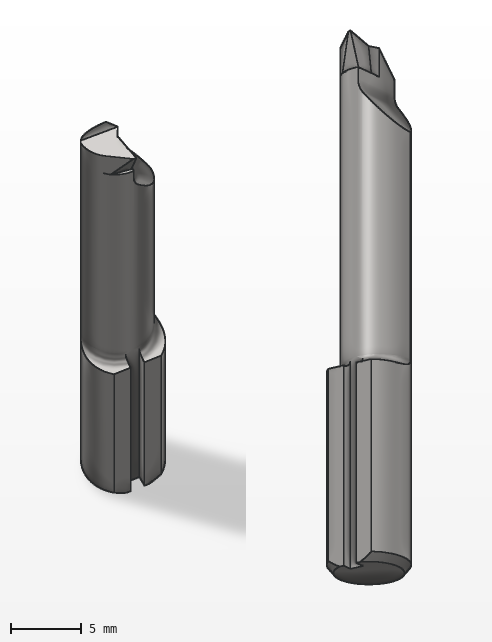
import cadquery as cq
import math

total_length = 40.0
shank_radius = 3.0
flat_x = 2.35
end_chamfer_radial = 0.5
end_chamfer_height = 0.6

shoulder_z = 15.0
neck_radius = 2.75
neck_center_x = -1.25
shoulder_fillet = 0.8

slot_width = 1.1
slot_floor_x = neck_center_x + neck_radius

tip_x = 2.25
tooth_bottom_z = 37.45
flank_angle = 20.0
flank_relief = 8.0
heel_x = 0.75
heel_y = -math.sqrt(neck_radius**2 - (heel_x - neck_center_x)**2)
heel_angle = 49.0

top_slope_x = 7.5
top_slope_y = 7.5

bevel_ridge_x = -1.1
bevel_angle = 43.5
bevel_side_angle = 2.0

rake_y = 0.1
rake_end_z = 36.5
runout_angle = 40.0
runout_radius = 1.6

chip_tip_y = -0.05
chip_turn = 6.0
chip_end_angle = 30.0

reach = 12.0


def slope(angle):
    return math.tan(math.radians(angle))


def space_above(point, slope_x, slope_y):
    """Solid above the plane through the point with the given rises along X and Y."""
    normal = cq.Vector(-slope_x, -slope_y, 1)
    plane = cq.Plane(origin=point, xDir=(1, 0, slope_x), normal=normal)
    return cq.Workplane(plane).rect(2 * reach, 2 * reach).extrude(reach)


def make_shank():
    chamfer_start = shank_radius - end_chamfer_radial
    profile = [
        (0, 0),
        (chamfer_start, 0),
        (shank_radius, end_chamfer_height),
        (shank_radius, total_length),
        (0, total_length),
    ]
    bar = cq.Workplane("XZ").polyline(profile).close().revolve(360, (0, 0), (0, 1))
    flat_cut = cq.Workplane("XY").box(reach, reach, total_length, centered=(False, True, False))
    return bar.cut(flat_cut.translate((flat_x, 0, 0)))


def make_neck_cutter():
    """Material removed outside the neck, +X of the neck centre, above the shoulder."""
    block = (
        cq.Workplane("XY")
        .box(reach, reach, total_length, centered=(False, True, False))
        .translate((neck_center_x, 0, shoulder_z))
    )
    fillet_edge = neck_radius + shoulder_fillet
    fillet_top = shoulder_z + shoulder_fillet
    bend = shoulder_fillet * math.sqrt(0.5)
    core = (
        cq.Workplane("XZ", origin=(neck_center_x, 0, 0))
        .moveTo(0, shoulder_z)
        .lineTo(fillet_edge, shoulder_z)
        .threePointArc((fillet_edge - bend, fillet_top - bend), (neck_radius, fillet_top))
        .lineTo(neck_radius, shoulder_z + total_length)
        .lineTo(0, shoulder_z + total_length)
        .close()
        .revolve(360, (0, 0), (0, 1))
    )
    return block.cut(core)


def make_slot():
    height = shoulder_z + shoulder_fillet
    slot = cq.Workplane("XY").box(reach, slot_width, height, centered=(False, True, False))
    return slot.translate((slot_floor_x, 0, 0))


def make_tooth_blank():
    height = total_length - tooth_bottom_z
    blank = cq.Workplane("XY").box(tip_x - heel_x, rake_y - heel_y, height, centered=False)
    return blank.translate((heel_x, heel_y, tooth_bottom_z))


def make_heel_cutter():
    """Vertical heel face, ground into the tooth and the side of the neck."""
    outside = [
        (heel_x, heel_y),
        (heel_x + reach, heel_y + reach * slope(heel_angle)),
        (heel_x + reach, -reach),
        (heel_x, -reach),
    ]
    return cq.Workplane("XY", origin=(0, 0, tooth_bottom_z)).polyline(outside).close().extrude(reach)


def make_flank_cutter():
    """Side flank leaning back from the tip, down to the bottom of the tooth."""
    lean = (total_length - tooth_bottom_z) * slope(flank_angle)
    side = [
        (tip_x, total_length),
        (tip_x - lean, tooth_bottom_z),
        (tip_x + reach, tooth_bottom_z),
        (tip_x + reach, total_length),
    ]
    return (
        cq.Workplane("XZ", origin=(0, reach / 2, 0))
        .polyline(side)
        .close()
        .extrude(reach)
        .rotate((tip_x, chip_tip_y, 0), (tip_x, chip_tip_y, 1), -flank_relief)
    )


def make_rake_cutter():
    """Relief on the +Y side with a rounded, leaning run-out."""
    turn = math.radians(runout_angle)
    arc_y = rake_y + runout_radius * (1 - math.cos(turn))
    arc_z = rake_end_z - runout_radius * math.sin(turn)
    mid_y = rake_y + runout_radius * (1 - math.cos(turn / 2))
    mid_z = rake_end_z - runout_radius * math.sin(turn / 2)
    end_y = 2 * shank_radius
    end_z = arc_z - (end_y - arc_y) / math.tan(turn)
    return (
        cq.Workplane("YZ", origin=(-reach / 2, 0, 0))
        .moveTo(rake_y, total_length)
        .lineTo(rake_y, rake_end_z)
        .threePointArc((mid_y, mid_z), (arc_y, arc_z))
        .lineTo(end_y, end_z)
        .lineTo(end_y, total_length)
        .close()
        .extrude(reach)
    )


def make_chip_cutter():
    wedge = [
        (rake_y, tooth_bottom_z),
        (chip_tip_y, total_length),
        (reach, total_length),
        (reach, tooth_bottom_z),
    ]
    cutter = (
        cq.Workplane("YZ", origin=(-reach / 2, 0, 0))
        .polyline(wedge)
        .close()
        .extrude(reach)
        .rotate((tip_x, chip_tip_y, 0), (tip_x, chip_tip_y, 1), chip_turn)
    )
    end_wall = [
        (bevel_ridge_x, rake_y),
        (bevel_ridge_x + reach, rake_y - reach * slope(chip_end_angle)),
        (bevel_ridge_x + reach, rake_y),
    ]
    room = cq.Workplane("XY").polyline(end_wall).close().extrude(total_length)
    return cutter.intersect(room)


tip = (tip_x, chip_tip_y, total_length)
ridge_z = total_length - (tip_x - bevel_ridge_x) * slope(top_slope_x)
ridge = (bevel_ridge_x, chip_tip_y, ridge_z)
top_cutter = space_above(tip, slope(top_slope_x), slope(top_slope_y))
bevel_cutter = space_above(ridge, slope(bevel_angle), slope(bevel_side_angle))

result = (
    make_shank()
    .cut(make_neck_cutter())
    .cut(make_slot())
    .union(make_tooth_blank())
    .cut(make_heel_cutter())
    .cut(make_flank_cutter())
    .cut(make_rake_cutter())
    .cut(make_chip_cutter())
    .cut(top_cutter)
    .cut(bevel_cutter)
)